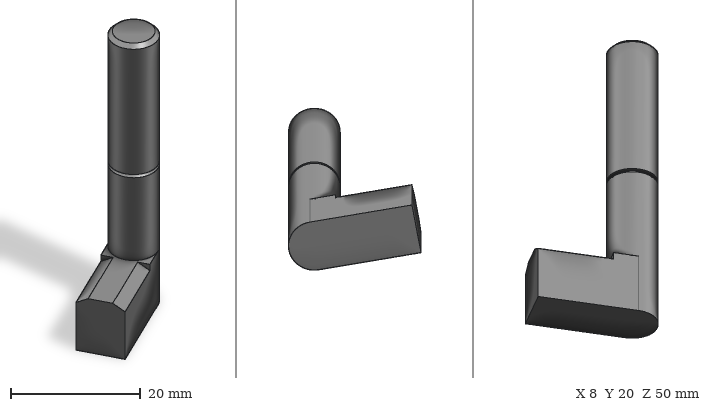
import cadquery as cq
import math

pin_diameter = 8.0
total_height = 50.0
foot_reach = 16.0
foot_height = 10.0
shoulder_height = 26.0
shoulder_chamfer = 0.6
tip_chamfer = 0.7
bevel_width = 2.0
bevel_angle = 30.0

pin_radius = pin_diameter / 2
bevel_drop = bevel_width * math.tan(math.radians(bevel_angle))
bevel_length = foot_reach - pin_radius


def pin_section(bottom, top, chamfer):
    """Cylinder along Z between two levels, with its top edge chamfered."""
    return (
        cq.Workplane("XY")
        .workplane(offset=bottom)
        .circle(pin_radius)
        .extrude(top - bottom)
        .faces(">Z")
        .chamfer(chamfer)
    )


def foot():
    """Block as wide as the pin, reaching from the pin axis toward -Y."""
    return cq.Workplane("XY").box(
        pin_diameter, foot_reach, foot_height, centered=(True, False, False)
    ).translate((0, -foot_reach, 0))


def foot_bevel(side):
    """Wedge removed from a top edge of the foot, in front of the pin; side is -1 or 1."""
    outer_x = side * pin_radius
    inner_x = side * (pin_radius - bevel_width)
    return (
        cq.Workplane("XZ", origin=(0, -pin_radius, 0))
        .moveTo(inner_x, foot_height)
        .lineTo(outer_x, foot_height)
        .lineTo(outer_x, foot_height - bevel_drop)
        .close()
        .extrude(bevel_length)
    )


bevelled_foot = foot()
for side in (-1, 1):
    bevelled_foot = bevelled_foot.cut(foot_bevel(side))

lower_pin = pin_section(0, shoulder_height, shoulder_chamfer)
upper_pin = pin_section(shoulder_height, total_height, tip_chamfer)

result = bevelled_foot.union(lower_pin).union(upper_pin)